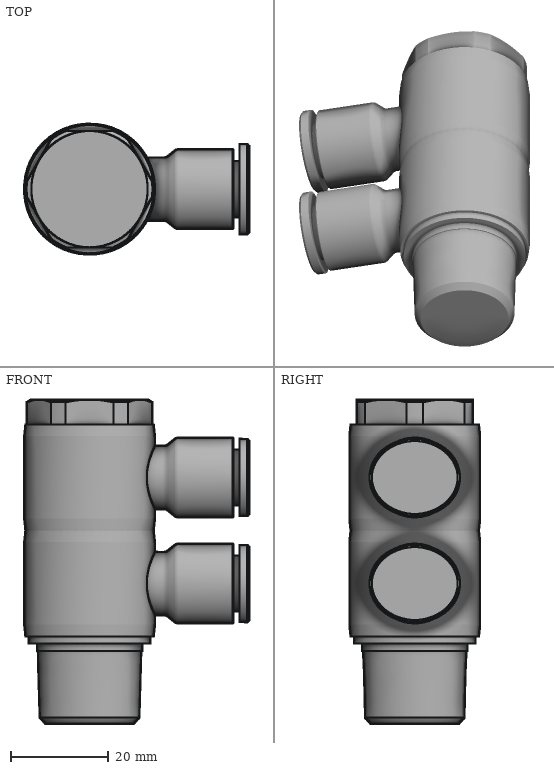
import cadquery as cq
import math

stem_chamfer_radius = 9.1
stem_tip_radius = 10.3
stem_chamfer_height = 1.3
stem_top_radius = 10.7
stem_top_z = 15.0
neck_radius = 10.9
seat_radius = 12.55
seat_bottom_z = 16.5

body_count = 2
body_radius = 13.5
body_end_radius = 13.2
body_taper_height = 2.4
body_height = 21.85
body_bottom_z = 18.0
bodies_top_z = body_bottom_z + body_count * body_height

head_top_z = 66.8
head_height = head_top_z - bodies_top_z
hexagon_sides = 6
head_across_flats = 24.0
head_corner_radius = 12.95
head_chamfer_angle = 30.0

fitting_neck_radius = 6.55
fitting_neck_end_x = 15.8
fitting_radius = 8.2
fitting_shoulder_x = 17.9
fitting_end_x = 29.65
fitting_blend_radius = 1.0
fitting_rim_chamfer = 0.2
sleeve_radius = 5.8

collar_start_x = 30.85
collar_end_x = 32.9
collar_width = 18.65
collar_height = 15.95
collar_chamfer = 0.5


def cylinder_z(radius, bottom_z, top_z):
    return cq.Workplane("XY").workplane(offset=bottom_z).circle(radius).extrude(top_z - bottom_z)


def cylinder_x(radius, start_x, end_x):
    return cq.Workplane("YZ").workplane(offset=start_x).circle(radius).extrude(end_x - start_x)


def make_stem():
    """Tapered stem with a chamfered tip, a short neck and a seat ring."""
    cone = (
        cq.Workplane("XZ")
        .polyline([
            (0, 0),
            (stem_chamfer_radius, 0),
            (stem_tip_radius, stem_chamfer_height),
            (stem_top_radius, stem_top_z),
            (0, stem_top_z),
        ])
        .close()
        .revolve(360, (0, 0, 0), (0, 1, 0))
    )
    neck = cylinder_z(neck_radius, stem_top_z, seat_bottom_z)
    seat = cylinder_z(seat_radius, seat_bottom_z, body_bottom_z)
    return cone.union(neck).union(seat)


def make_body(bottom_z):
    """Cylinder whose two ends taper slightly inward."""
    top_z = bottom_z + body_height
    return (
        cq.Workplane("XZ")
        .polyline([
            (0, bottom_z),
            (body_end_radius, bottom_z),
            (body_radius, bottom_z + body_taper_height),
            (body_radius, top_z - body_taper_height),
            (body_end_radius, top_z),
            (0, top_z),
        ])
        .close()
        .revolve(360, (0, 0, 0), (0, 1, 0))
    )


def make_head():
    """Hexagon trimmed by a turned blank; two of its flats face +Y and -Y."""
    across_corners = head_across_flats / math.cos(math.pi / hexagon_sides)
    hexagon = (
        cq.Workplane("XY")
        .workplane(offset=bodies_top_z)
        .polygon(hexagon_sides, across_corners)
        .extrude(head_height)
    )
    chamfer_width = head_corner_radius - head_across_flats / 2
    chamfer_height = chamfer_width * math.tan(math.radians(head_chamfer_angle))
    blank = (
        cylinder_z(head_corner_radius, bodies_top_z, head_top_z)
        .faces(">Z")
        .chamfer(chamfer_height, chamfer_width)
    )
    return hexagon.intersect(blank)


def make_fitting(axis_z):
    """Necked sleeve with a blended conical shoulder and an oval end collar."""
    shell = (
        cq.Workplane("XY")
        .polyline([
            (0, 0),
            (0, fitting_neck_radius),
            (fitting_neck_end_x, fitting_neck_radius),
            (fitting_shoulder_x, fitting_radius),
            (fitting_end_x, fitting_radius),
            (fitting_end_x, 0),
        ])
        .close()
        .revolve(360, (0, 0, 0), (1, 0, 0))
        .faces("%CONE")
        .edges("%CIRCLE")
        .fillet(fitting_blend_radius)
        .faces(">X")
        .chamfer(fitting_rim_chamfer)
    )
    sleeve = cylinder_x(sleeve_radius, fitting_end_x, collar_start_x)
    collar = (
        cq.Workplane("YZ")
        .workplane(offset=collar_start_x)
        .ellipse(collar_width / 2, collar_height / 2)
        .extrude(collar_end_x - collar_start_x)
        .faces(">X")
        .chamfer(collar_chamfer)
    )
    return shell.union(sleeve).union(collar).translate((0, 0, axis_z))


result = make_stem().union(make_head())
for index in range(body_count):
    bottom_z = body_bottom_z + index * body_height
    result = result.union(make_body(bottom_z))
    result = result.union(make_fitting(bottom_z + body_height / 2))